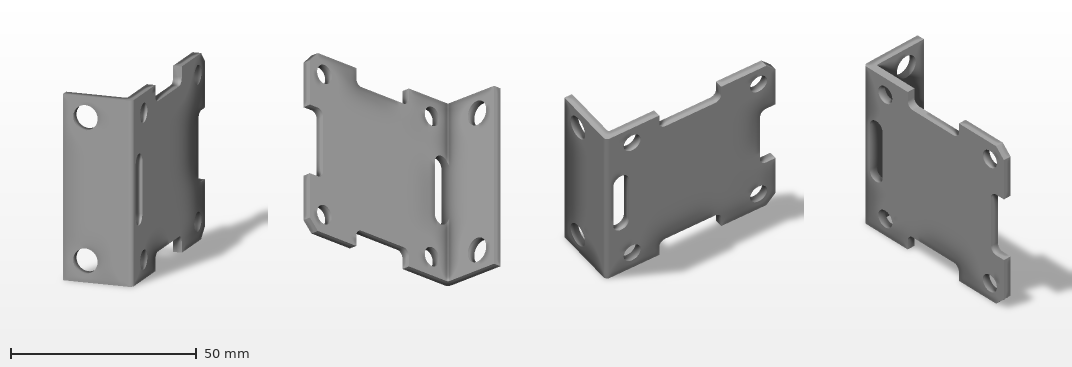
import cadquery as cq

flange_width = 20.0
web_length = 55.0
height = 52.0
thickness = 2.5

inner_bend_radius = 0.6
outer_bend_radius = 1.2

corner_chamfer = 3.0
notch_length = 20.0
notch_depth = 5.0
notch_radius = 2.0
side_notch_start = 17.3
slot_width = 5.0
web_hole_diameter = 5.5
web_hole_inset = 5.5
web_hole_pitch = 41.0

flange_hole_diameter = 7.0
flange_hole_inset = 6.5
flange_hole_pitch = 40.0

side_notch_center = side_notch_start + notch_length / 2
slot_center = thickness + slot_width / 2
web_hole_center = web_length - web_hole_inset - web_hole_pitch / 2


def bent_plate():
    """L-shaped plate with a rounded bend."""
    profile = (
        cq.Workplane("XY")
        .workplane(offset=-height / 2)
        .polyline([
            (0, 0),
            (flange_width, 0),
            (flange_width, web_length),
            (flange_width - thickness, web_length),
            (flange_width - thickness, thickness),
            (0, thickness),
        ])
        .close()
    )
    plate = profile.extrude(height)
    inner_edge = cq.selectors.NearestToPointSelector((flange_width - thickness, thickness, 0))
    plate = plate.edges("|Z").edges(inner_edge).fillet(inner_bend_radius)
    return plate.edges("|Z and >X and <Y").fillet(outer_bend_radius)


def web_plane():
    """Sketch plane through the web, with local axes along Y and Z."""
    return cq.Workplane("YZ")


def edge_notch(center_y, center_z, size_y, size_z):
    """Rounded cutter centred on a web edge, so that half of it cuts the web."""
    cutter = web_plane().center(center_y, center_z).rect(size_y, size_z).extrude(flange_width)
    return cutter.edges("|X").fillet(notch_radius)


def web_holes():
    return (
        web_plane()
        .center(web_hole_center, 0)
        .rect(web_hole_pitch, web_hole_pitch, forConstruction=True)
        .vertices()
        .circle(web_hole_diameter / 2)
        .extrude(flange_width)
    )


def bend_slot():
    """Vertical slot running along the inside face of the flange."""
    return web_plane().center(slot_center, 0).slot2D(notch_length, slot_width, 90).extrude(flange_width)


def flange_holes():
    return (
        cq.Workplane("XZ")
        .pushPoints([(flange_hole_inset, side * flange_hole_pitch / 2) for side in (-1, 1)])
        .circle(flange_hole_diameter / 2)
        .extrude(-thickness)
    )


result = bent_plate()
result = result.edges("|X and >Y").chamfer(corner_chamfer)
result = result.cut(edge_notch(web_length, 0, 2 * notch_depth, notch_length))
for side in (-1, 1):
    result = result.cut(edge_notch(side_notch_center, side * height / 2, notch_length, 2 * notch_depth))
result = result.cut(web_holes())
result = result.cut(bend_slot())
result = result.cut(flange_holes())